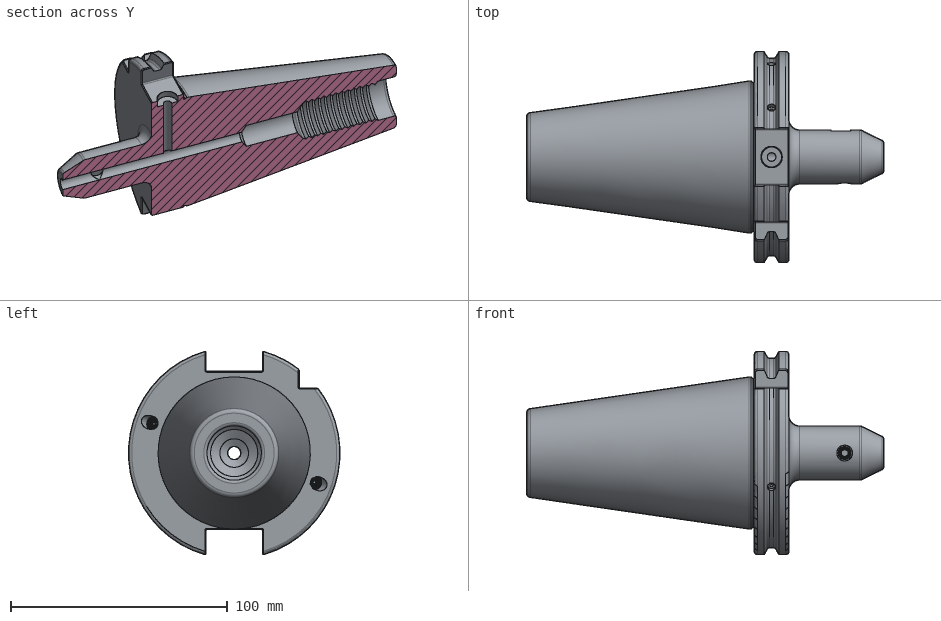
import cadquery as cq
import math


total_length = 164.8
taper_length = 102.5
land_end = 103.5
neck_start = 104.3
flange_start = 105.0
flange_end = 121.0
nose_cone_start = 154.0
flange_middle = (flange_start + flange_end) / 2

small_end_radius = 20.3
large_end_radius = 35.1
neck_radius = 34.5
flange_radius = 48.8
nose_radius = 12.5
nose_tip_radius = 7.2

small_end_fillet = 2.1
flange_fillet = 1.5
nose_root_fillet = 5
nose_cone_fillet = 2.1
nose_tip_fillet = 1.5

groove_half_width = 3.5
groove_wall_angle = 30
groove_floor_radius = 45.6
groove_fillet = 1.2

slot_width = 26.0
top_slot_floor = 37.7
bottom_slot_floor = 35.3
notch_offset = 30.0
slot_edge_chamfer = 0.5
slot_corner_fillet = 0.5

pilot_radius = 12.5
bore_mouth_fillet = 1.5
pilot_depth = 9.0
bore_thread_major_radius = 12.2
bore_thread_core_radius = 10.9
bore_thread_pitch = 3.0
bore_thread_turns = 12
drill_radius = 6.6
drill_depth = 74.1
tool_bore_radius = 3.0
drill_tip_angle = 59

pocket_radius = 5
pocket_depth = 3.6
pocket_chamfer = 0.3
cross_hole_radius = 2.0

channel_azimuth = 20
channel_centre_radius = 41.5
channel_tilt = 35
channel_radius = 3.1
channel_mouth_depth = 2.5
channel_thread_major_radius = 3.0
channel_thread_core_radius = 2.5
channel_thread_pitch = 1.0
channel_thread_turns = 8

plug_seat_radius = 1.8
plug_seat_end_radius = 42.8
plug_hole_radius = 0.8
plug_hole_end_radius = 36.2
upper_plug_hole_azimuth = 60

screw_position = 146.6
screw_radius = 3.0
screw_hole_mouth_radius = 3.6
screw_hole_mouth_depth = 1.0
screw_recess = 1.3
socket_width = 3.0
socket_depth = 3.0
screw_chamfer = 0.5
socket_chamfer = 0.5

flat_start = 140.4
flat_end = 149.5
flat_depth = 0.5


def turned(points):
    """Solid of revolution about the X axis from (x, radius) points."""
    return cq.Workplane("XZ").polyline(points).close().revolve(360, (0, 0), (1, 0))


def circles_at(x):
    """Selector for the circles that are centred on the axis at the given X."""
    margin = 0.08
    return cq.selectors.BoxSelector((x - margin, -margin, -margin), (x + margin, margin, margin))


def thread_points(start, core_radius, major_radius, pitch, turns):
    """Sawtooth outline of ring-shaped thread grooves that begin at X = start."""
    points = [(start, core_radius)]
    for turn in range(turns):
        turn_start = start + turn * pitch
        points.append((turn_start + pitch / 2, major_radius))
        points.append((turn_start + pitch, core_radius))
    return points


def make_outline():
    taper = turned(
        [
            (0, 0),
            (0, small_end_radius),
            (taper_length, large_end_radius),
            (land_end, large_end_radius),
            (neck_start, neck_radius),
            (flange_start, neck_radius),
            (flange_start, 0),
        ]
    )
    taper = taper.faces("<X").edges().fillet(small_end_fillet)
    flange = turned(
        [
            (flange_start, 0),
            (flange_start, flange_radius),
            (flange_end, flange_radius),
            (flange_end, 0),
        ]
    )
    flange = flange.faces("<X or >X").edges().fillet(flange_fillet)
    flange = cut_slots(flange).cut(make_groove())
    nose = turned(
        [
            (flange_end, 0),
            (flange_end, nose_radius),
            (nose_cone_start, nose_radius),
            (total_length, nose_tip_radius),
            (total_length, 0),
        ]
    )
    nose = nose.edges(circles_at(nose_cone_start)).fillet(nose_cone_fillet)
    nose = nose.faces(">X").edges().fillet(nose_tip_fillet)
    body = taper.union(flange).union(nose)
    return body.union(make_nose_root())


def make_nose_root():
    """Ring that rounds the corner between flange and nose."""
    arc_angle = math.radians(45)
    centre_x = flange_end + nose_root_fillet
    centre_r = nose_radius + nose_root_fillet
    middle = (
        centre_x - nose_root_fillet * math.cos(arc_angle),
        centre_r - nose_root_fillet * math.sin(arc_angle),
    )
    return (
        cq.Workplane("XZ")
        .moveTo(flange_end, 0)
        .lineTo(flange_end, centre_r)
        .threePointArc(middle, (centre_x, nose_radius))
        .lineTo(centre_x, 0)
        .close()
        .revolve(360, (0, 0), (1, 0))
    )


def make_groove():
    wall_slope = math.tan(math.radians(groove_wall_angle))
    depth = flange_radius - groove_floor_radius
    floor_half_width = groove_half_width - depth * wall_slope
    clearance = 1.6
    top_half_width = groove_half_width + clearance * wall_slope
    groove = turned(
        [
            (flange_middle - top_half_width, flange_radius + clearance),
            (flange_middle - floor_half_width, groove_floor_radius),
            (flange_middle + floor_half_width, groove_floor_radius),
            (flange_middle + top_half_width, flange_radius + clearance),
        ]
    )
    for side in (-1, 1):
        corner = circles_at(flange_middle + side * floor_half_width)
        groove = groove.edges(corner).fillet(groove_fillet)
    return groove


def rim_cutter(y_start, y_end, z_start, z_end):
    """Block through the whole flange width, with rounded corners along X."""
    block = cq.Workplane("XY").box(
        flange_end - flange_start, y_end - y_start, z_end - z_start, centered=False
    )
    return block.translate((flange_start, y_start, z_start)).edges("|X").fillet(slot_corner_fillet)


def cut_slots(flange):
    half_width = slot_width / 2
    beyond_rim = flange_radius + 1.6
    cutters = [
        rim_cutter(-half_width, half_width, top_slot_floor, beyond_rim),
        rim_cutter(-half_width, half_width, -beyond_rim, -bottom_slot_floor),
        rim_cutter(-beyond_rim, -notch_offset, notch_offset, beyond_rim),
    ]
    for cutter in cutters:
        flange = flange.cut(cutter)
    margin = 0.2
    y_reach = notch_offset + slot_corner_fillet + margin
    z_reach = top_slot_floor + slot_corner_fillet + margin
    inner_corners = cq.selectors.BoxSelector(
        (flange_middle - margin, -y_reach, -z_reach),
        (flange_middle + margin, y_reach, z_reach),
    )
    border = cq.selectors.Selector() - inner_corners
    return flange.faces("|Y or |Z").edges(border).chamfer(slot_edge_chamfer)


def make_bore():
    tip_slope = 1 / math.tan(math.radians(drill_tip_angle))
    thread_start = pilot_depth + pilot_radius - bore_thread_core_radius
    thread = thread_points(
        thread_start, bore_thread_core_radius, bore_thread_major_radius, bore_thread_pitch, bore_thread_turns
    )
    thread_end = thread_start + bore_thread_turns * bore_thread_pitch
    thread_tip = thread_end + (bore_thread_core_radius - drill_radius) * tip_slope
    drill_tip = drill_depth + (drill_radius - tool_bore_radius) * tip_slope
    return turned(
        [
            (0, 0),
            (0, pilot_radius),
            (pilot_depth, pilot_radius),
            *thread,
            (thread_tip, drill_radius),
            (drill_depth, drill_radius),
            (drill_tip, tool_bore_radius),
            (total_length, tool_bore_radius),
            (total_length, 0),
        ]
    )


def make_cross_hole():
    floor = cq.Workplane("XY", origin=(flange_middle, 0, top_slot_floor))
    pocket = floor.circle(pocket_radius).extrude(-pocket_depth).faces(">Z").edges().chamfer(pocket_chamfer)
    return pocket.union(floor.circle(cross_hole_radius).extrude(-top_slot_floor))


def make_channel():
    """Blind channel on the +Y side that leans towards the axis."""
    lead = 5
    thread = thread_points(
        channel_mouth_depth,
        channel_thread_core_radius,
        channel_thread_major_radius,
        channel_thread_pitch,
        channel_thread_turns,
    )
    channel_end = channel_mouth_depth + channel_thread_turns * channel_thread_pitch
    channel = turned(
        [
            (-lead, 0),
            (-lead, channel_radius),
            (channel_mouth_depth, channel_radius),
            *thread,
            (channel_end, 0),
        ]
    )
    tilted = channel.rotate((0, 0, 0), (0, 0, 1), -channel_tilt)
    return tilted.translate((flange_start, channel_centre_radius, 0))


def radial_hole(radius, end_radius):
    """Hole on the +Y side, from beyond the groove down to the given distance from the axis."""
    plane = cq.Plane((flange_middle, end_radius, 0), (1, 0, 0), (0, 1, 0))
    return cq.Workplane(plane).circle(radius).extrude(flange_radius - end_radius)


def make_plug_hole():
    seat = radial_hole(plug_seat_radius, plug_seat_end_radius)
    return seat.union(radial_hole(plug_hole_radius, plug_hole_end_radius))


def about_axis(shape, azimuth):
    return shape.rotate((0, 0, 0), (1, 0, 0), azimuth)


def nose_side():
    """Plane tangent to the -Y side of the nose, facing outwards."""
    return cq.Workplane(cq.Plane((screw_position, -nose_radius, 0), (1, 0, 0), (0, -1, 0)))


def make_screw_hole():
    mouth = nose_side().circle(screw_hole_mouth_radius).extrude(-screw_hole_mouth_depth)
    hole = nose_side().circle(screw_radius).extrude(-nose_radius)
    return hole.union(mouth)


def make_screw():
    length = nose_radius - screw_recess - tool_bore_radius
    head = nose_side().workplane(offset=-screw_recess)
    screw = head.circle(screw_radius).extrude(-length).faces("<Y").edges().chamfer(screw_chamfer)
    half_corner = 30
    socket_diameter = socket_width / math.cos(math.radians(half_corner))
    socket = head.transformed(rotate=(0, 0, half_corner)).polygon(6, socket_diameter).extrude(-socket_depth)
    countersink_radius = socket_diameter / 2 + socket_chamfer
    countersink = cq.Solid.makeCone(
        countersink_radius,
        countersink_radius - socket_chamfer,
        socket_chamfer,
        head.plane.origin,
        cq.Vector(0, 1, 0),
    )
    return screw.cut(socket).cut(cq.Workplane(countersink))


def make_flat():
    return cq.Workplane("XY").box(
        flat_end - flat_start, flat_depth, 2 * nose_radius, centered=(False, False, True)
    ).translate((flat_start, nose_radius - flat_depth, 0))


holder = make_outline().cut(make_bore())
holder = holder.faces("<X").edges(cq.selectors.RadiusNthSelector(0)).fillet(bore_mouth_fillet)
holder = holder.cut(make_flat()).cut(make_cross_hole()).cut(make_screw_hole())
for half_turn in (0, 180):
    holder = holder.cut(about_axis(make_channel(), channel_azimuth + half_turn))
    holder = holder.cut(about_axis(make_plug_hole(), channel_azimuth + half_turn))
holder = holder.cut(about_axis(make_plug_hole(), upper_plug_hole_azimuth))

screw = make_screw()

result = cq.Compound.makeCompound([holder.val(), screw.val()])